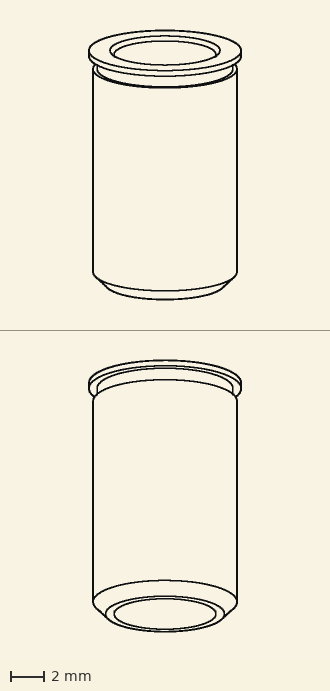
import cadquery as cq

length = 14.5
flange_diameter = 9.14
body_diameter = 8.64
groove_diameter = 8.15
bore_diameter = 6.1

flange_thickness = 0.35
groove_width = 0.8

lead_in_chamfer = 0.75
bore_chamfer = 0.25

body_length = length - flange_thickness - groove_width


def make_body():
    """Main cylinder with a lead-in chamfer around its lower end."""
    body = cq.Workplane("XY").circle(body_diameter / 2).extrude(body_length)
    return body.faces("<Z").edges().chamfer(lead_in_chamfer)


def add_groove_and_flange(body):
    """Stack the groove neck and the thin flange on top of the body."""
    neck = body.faces(">Z").workplane().circle(groove_diameter / 2).extrude(groove_width)
    return neck.faces(">Z").workplane().circle(flange_diameter / 2).extrude(flange_thickness)


def cut_bore(sleeve):
    """Cut the through bore and chamfer its upper mouth."""
    bored = sleeve.faces(">Z").workplane().hole(bore_diameter)
    mouth = bored.faces(">Z").edges(cq.selectors.RadiusNthSelector(0))
    return mouth.chamfer(bore_chamfer)


result = cut_bore(add_groove_and_flange(make_body()))